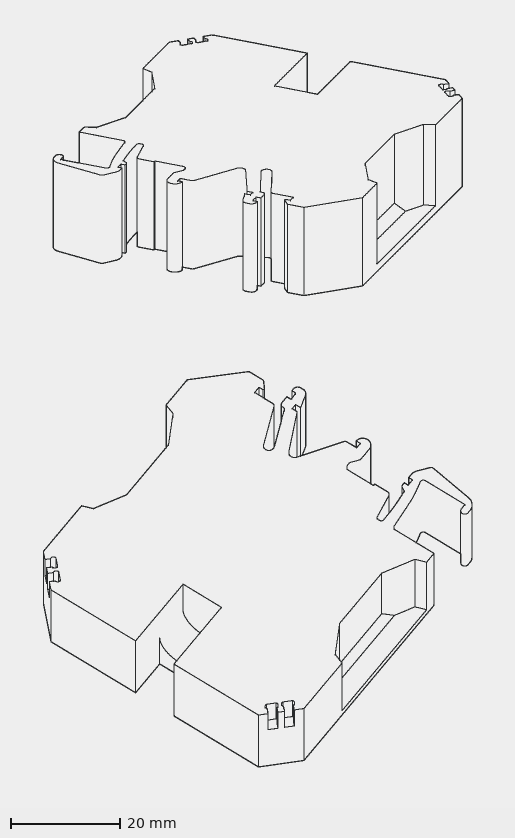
import cadquery as cq
import math


width = 58.5
height = 62.0
thickness = 18.0
half_width = width / 2
corner_cut = 5.95
left_base_y = 14.95
right_base_y = 10.6
min_line = 6.2e-07

shoulder_y = 5.7
shoulder_notch = 1.35
catch_y = 4.6
catch_notch = 1.1

arm_left = -19.95
arm_bend = (-19.1, 6.7)
arm_outer_radius = 26.65
hook_inner_x = -18.05
hook_inner_radius = 0.6
hook_floor_y = 3.1
lip_width = 1.5
lip_top_y = 4.95
hook_heel_y = 1.8
hook_heel_radius = 2.1
hook_tip = (-18.15, 0.0)
hook_tip_radius = 0.5
hook_right = -16.0
hook_side_y = 2.8
hook_side_radius = 1.85
hook_notch_depth = 0.85
nose_y = 6.6
nose_radius = 0.5
nose_root = (-17.05, 7.2)
arm_inner_x = -17.55
arm_inner_bend_y = 11.55
arm_inner_radius = 37.2
arm_slot_width = 1.25
arm_slot_radius = 0.5

seat_left = (-15.2, 9.05)
seat_step_x = -11.7
seat_step = 0.4
seat_right = -5.35
seat_radius = 0.8
undercut_y = 7.95
finger_left = -6.6
finger_right = -3.6
finger_shoulder_y = 6.3
finger_tip_y = 2.0
finger_notch_depth = 0.9
finger_root_x = -2.0

v_point = (4.3, 14.2)
v_radius = 1.05
leg_left = 8.85
leg_right = 12.3
leg_catch_depth = 1.1
leg_tip_left = 9.9
leg_tip_radius = 1.1
leg_toe_radius = 0.9
leg_notch_depth = 0.9
leg_notch_top = 3.05
leg_notch_bottom = 1.4
leg_top_y = 5.2
leg_root_y = 5.35

slot_end = (8.8, 13.6)
slot_radius = 1.0
slot_lean = math.radians(22.5)

heel_notch_x = 17.6
heel_notch_depth = 0.85
barb_tip = (16.55, 4.0)
heel_bottom_y = 2.6
heel_left = 17.8
heel_right = 21.1

soft_radius = 0.6
small_radius = 0.3

screw_width = 8.6
through_depth = 7.6
channel_depth = 15.0

funnel_center_y = 30.6
funnel_mouth_half = 13.3
funnel_lip_half = 12.6
funnel_end_half = 6.65
funnel_lip_depth = 2.1
funnel_depth = 5.35
funnel_floor_depth = 4.1
funnel_floor_z = 1.55
ramp_top_z = 3.95

groove_pitch = 3.05
groove_mouth = 1.8
groove_neck = 1.05
groove_depth = 2.05
groove_length = 5.5
groove_bulge = 0.3


def rounded_outline(corners):
    """Closed outline through (x, y, radius) corners, with a tangent arc where the radius is not 0."""
    stretches = []
    count = len(corners)
    for i, (x, y, radius) in enumerate(corners):
        corner = cq.Vector(x, y)
        if radius == 0:
            stretches.append((corner, None, corner))
            continue
        to_last = (cq.Vector(*corners[i - 1][:2]) - corner).normalized()
        to_next = (cq.Vector(*corners[(i + 1) % count][:2]) - corner).normalized()
        half_angle = to_last.getAngle(to_next) / 2
        reach = radius / math.tan(half_angle)
        gap = radius / math.sin(half_angle) - radius
        middle = corner + (to_last + to_next).normalized() * gap
        stretches.append((corner + to_last * reach, middle, corner + to_next * reach))

    outline = cq.Workplane("XY").moveTo(*stretches[0][2].toTuple()[:2])
    position = stretches[0][2]
    for start, middle, end in stretches[1:] + stretches[:1]:
        if (start - position).Length > min_line:
            outline = outline.lineTo(start.x, start.y)
        if middle is not None:
            outline = outline.threePointArc((middle.x, middle.y), (end.x, end.y))
        position = end
    return outline.close()


def hook_corners():
    lip_right = -half_width + lip_width
    notch_x = hook_right - hook_notch_depth
    arm_slot_right = arm_inner_x + arm_slot_width
    return [
        (arm_left, left_base_y, soft_radius),
        (*arm_bend, arm_outer_radius),
        (hook_inner_x, hook_floor_y, hook_inner_radius),
        (lip_right, hook_floor_y, 0),
        (lip_right, lip_top_y, lip_width / 2),
        (-half_width, lip_top_y, lip_width / 2),
        (-half_width, hook_heel_y, hook_heel_radius),
        (*hook_tip, hook_tip_radius),
        (hook_right, hook_side_y, hook_side_radius),
        (hook_right, shoulder_y - shoulder_notch, 0),
        (notch_x, shoulder_y - shoulder_notch, 0),
        (notch_x, shoulder_y, 0),
        (hook_right, shoulder_y, 0),
        (hook_right, nose_y, nose_radius),
        (*nose_root, 0),
        (arm_inner_x, arm_inner_bend_y, arm_inner_radius),
        (arm_inner_x, left_base_y, arm_slot_radius),
        (arm_slot_right, left_base_y, arm_slot_radius),
    ]


def finger_corners():
    tip_radius = (finger_right - finger_left) / 2
    notch_x = finger_right - finger_notch_depth
    seat_y = seat_left[1]
    return [
        (*seat_left, soft_radius),
        (seat_step_x, seat_y, 0),
        (seat_step_x, seat_y + seat_step, 0),
        (seat_right, seat_y + seat_step, seat_radius),
        (seat_right, undercut_y, seat_radius),
        (finger_left, finger_shoulder_y, seat_radius),
        (finger_left, finger_tip_y, tip_radius),
        (finger_right, finger_tip_y, tip_radius),
        (finger_right, catch_y - catch_notch, 0),
        (notch_x, catch_y - catch_notch, 0),
        (notch_x, catch_y, 0),
        (finger_root_x, catch_y, soft_radius),
        (*v_point, v_radius),
    ]


def leg_corners():
    catch_x = leg_left + leg_catch_depth
    notch_x = leg_right - leg_notch_depth
    return [
        (leg_left, catch_y, 0),
        (catch_x, catch_y, 0),
        (catch_x, catch_y - catch_notch, 0),
        (leg_left, catch_y - catch_notch, 0),
        (leg_tip_left, 0, leg_tip_radius),
        (leg_right, 0, leg_toe_radius),
        (leg_right, leg_notch_bottom, 0),
        (notch_x, leg_notch_bottom, small_radius),
        (notch_x, leg_notch_top, 0),
        (leg_right, leg_notch_top, 0),
        (leg_right, leg_top_y, soft_radius),
    ]


def slot_corners():
    """Two parallel leaning walls joined by a half circle."""
    along = cq.Vector(-math.sin(slot_lean), math.cos(slot_lean))
    across = cq.Vector(math.cos(slot_lean), math.sin(slot_lean))
    cap = cq.Vector(*slot_end) + along * slot_radius
    cap_left = cap - across * slot_radius
    cap_right = cap + across * slot_radius
    left_root_x = cap_left.x + (cap_left.y - leg_root_y) * math.tan(slot_lean)
    right_root_x = cap_right.x + (cap_right.y - shoulder_y) * math.tan(slot_lean)
    return [
        (left_root_x, leg_root_y, small_radius),
        (cap_left.x, cap_left.y, slot_radius),
        (cap_right.x, cap_right.y, slot_radius),
        (right_root_x, shoulder_y, soft_radius),
    ]


def heel_corners():
    notch_bottom_y = shoulder_y - shoulder_notch
    return [
        (heel_notch_x, shoulder_y, 0),
        (heel_notch_x, notch_bottom_y, 0),
        (heel_notch_x - heel_notch_depth, notch_bottom_y, 0),
        (*barb_tip, 0),
        (heel_left, heel_bottom_y, 0),
        (heel_right, heel_bottom_y, 0),
    ]


def make_body():
    top_and_sides = [
        (half_width, right_base_y, 0),
        (half_width, height - corner_cut, 0),
        (half_width - corner_cut, height, 0),
        (corner_cut - half_width, height, 0),
        (-half_width, height - corner_cut, 0),
        (-half_width, left_base_y, 0),
    ]
    feet = hook_corners() + finger_corners() + leg_corners() + slot_corners() + heel_corners()
    return rounded_outline(top_and_sides + feet).extrude(thickness)


def make_screw_access():
    """Through slot, continued by a channel whose round bottom lies at mid thickness."""
    axis_z = thickness / 2
    mouth = cq.Workplane("XZ", origin=(0, height, 0))
    through = mouth.rect(screw_width, 2 * thickness).extrude(through_depth)
    channel = mouth.center(0, thickness).rect(screw_width, 2 * (thickness - axis_z)).extrude(channel_depth)
    round_bottom = mouth.center(0, axis_z).circle(screw_width / 2).extrude(channel_depth)
    return through.union(channel).union(round_bottom)


def make_left_funnel():
    """Tapered side recess, limited below by a flat floor with a ramp at its inner end."""
    half_outline = [
        (0, funnel_mouth_half),
        (funnel_lip_depth, funnel_lip_half),
        (funnel_depth, funnel_end_half),
    ]
    mirrored = [(depth, -half) for depth, half in reversed(half_outline)]
    origin = (-half_width, funnel_center_y, 0)
    plan = cq.Workplane("XY", origin=origin).polyline(half_outline + mirrored).close().extrude(thickness)
    section = [
        (0, funnel_floor_z),
        (funnel_floor_depth, funnel_floor_z),
        (funnel_depth, ramp_top_z),
        (funnel_depth, thickness),
        (0, thickness),
    ]
    side = cq.Workplane("XZ", origin=origin).polyline(section).close().extrude(funnel_mouth_half, both=True)
    return plan.intersect(side)


def make_left_marker_grooves():
    """Two grooves with round-sided heads, square to the left corner cut."""
    half_mouth = groove_mouth / 2
    half_head = half_mouth + groove_bulge
    head_middle = -(groove_neck + groove_depth) / 2
    cut_middle = (corner_cut / 2 - half_width, height - corner_cut / 2, thickness - groove_length)
    plane = cq.Plane(origin=cut_middle, xDir=(1, 1, 0), normal=(0, 0, 1))
    grooves = cq.Workplane(plane)
    for center in (-groove_pitch / 2, groove_pitch / 2):
        groove = (
            cq.Workplane(plane)
            .moveTo(center - half_mouth, 0)
            .lineTo(center - half_mouth, -groove_neck)
            .threePointArc((center - half_head, head_middle), (center - half_mouth, -groove_depth))
            .lineTo(center + half_mouth, -groove_depth)
            .threePointArc((center + half_head, head_middle), (center + half_mouth, -groove_neck))
            .lineTo(center + half_mouth, 0)
            .close()
            .extrude(groove_length)
        )
        grooves = grooves.add(groove)
    return grooves.combine()


result = make_body().cut(make_screw_access())
for left_cutter in (make_left_funnel(), make_left_marker_grooves()):
    result = result.cut(left_cutter).cut(left_cutter.mirror("YZ"))